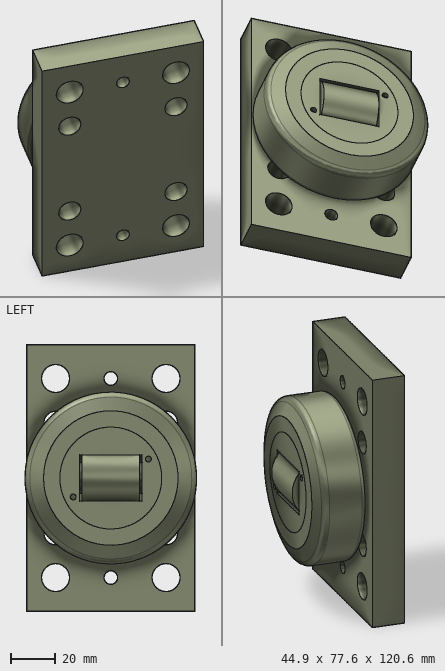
import cadquery as cq
import math

overall_depth = 44.9
face_x = 2.9
main_roller_back_x = 26.1
plate_front_x = 29.3

plate_width = 76.0
plate_height = 120.6
plate_thickness = overall_depth - plate_front_x
hole_y = 25.0
outer_hole_z = 45.0
inner_hole_z = hole_y
outer_hole_diameter = 12.5
inner_hole_diameter = 10.4
center_hole_diameter = 6.0

main_roller_radius = 38.8
bore_radius = 23.0
front_face_radius = 30.4
cone_angle = 20.0
front_edge_fillet = 3.4
back_edge_fillet = 2.0

shoulder_radius = 26.9
window_width = 28.2
window_height = 21.0
dimple_y = 17.0
dimple_z = 8.6
dimple_diameter = 2.7
dimple_depth = 2.4

side_roller_radius = 14.2
side_roller_width = 26.1
pin_radius = 7.0
pin_length = 35.0
side_axis_x = side_roller_radius


def x_cylinder(start_x, end_x, radius):
    return cq.Workplane("YZ", origin=(start_x, 0, 0)).circle(radius).extrude(end_x - start_x)


def side_cylinder(radius, length):
    """Cylinder along Y on the axis of the side roller, centered on Y = 0."""
    start = cq.Workplane("XZ", origin=(side_axis_x, length / 2, 0))
    return start.circle(radius).extrude(length)


def plate_holes(points, diameter):
    return (
        cq.Workplane("YZ", origin=(plate_front_x, 0, 0))
        .pushPoints(points)
        .circle(diameter / 2)
        .extrude(plate_thickness)
    )


def make_plate():
    signs = (-1, 1)
    outer_points = [(y * hole_y, z * outer_hole_z) for y in signs for z in signs]
    inner_points = [(y * hole_y, z * inner_hole_z) for y in signs for z in signs]
    center_points = [(0, z * outer_hole_z) for z in signs]
    return (
        cq.Workplane("YZ", origin=(plate_front_x, 0, 0))
        .rect(plate_width, plate_height)
        .extrude(plate_thickness)
        .cut(plate_holes(outer_points, outer_hole_diameter))
        .cut(plate_holes(inner_points, inner_hole_diameter))
        .cut(plate_holes(center_points, center_hole_diameter))
    )


def make_main_roller():
    """Ring with a conical front, rounded at both outer edges."""
    cone_depth = (main_roller_radius - front_face_radius) * math.tan(math.radians(cone_angle))
    cone_end_x = face_x + cone_depth
    ring = (
        cq.Workplane("XY")
        .moveTo(face_x, bore_radius)
        .lineTo(face_x, front_face_radius)
        .lineTo(cone_end_x, main_roller_radius)
        .lineTo(main_roller_back_x, main_roller_radius)
        .lineTo(main_roller_back_x, bore_radius)
        .close()
        .revolve(360, (0, 0, 0), (1, 0, 0))
    )
    outer_circle = cq.selectors.RadiusNthSelector(-1)
    ring = ring.faces("%CONE").edges("%CIRCLE").edges(outer_circle).fillet(front_edge_fillet)
    return ring.faces(">X").edges(outer_circle).fillet(back_edge_fillet)


def make_hub():
    """Shouldered stud with a windowed cavity for the side roller and its pin."""
    stud = x_cylinder(face_x, plate_front_x, bore_radius)
    shoulder = x_cylinder(main_roller_back_x, plate_front_x, shoulder_radius)
    window = (
        cq.Workplane("YZ", origin=(face_x, 0, 0))
        .rect(window_width, window_height)
        .extrude(side_axis_x - face_x)
    )
    dimples = (
        cq.Workplane("YZ", origin=(face_x, 0, 0))
        .pushPoints([(-dimple_y, dimple_z), (dimple_y, -dimple_z)])
        .circle(dimple_diameter / 2)
        .extrude(dimple_depth)
    )
    return (
        stud.union(shoulder)
        .cut(window)
        .cut(side_cylinder(side_roller_radius, window_width))
        .cut(side_cylinder(pin_radius, pin_length))
        .cut(dimples)
    )


def make_side_roller():
    return side_cylinder(side_roller_radius, side_roller_width).cut(
        side_cylinder(pin_radius, side_roller_width)
    )


def make_pin():
    return side_cylinder(pin_radius, pin_length)


plate = make_plate()
main_roller = make_main_roller()
hub = make_hub()
side_roller = make_side_roller()
pin = make_pin()

result = cq.Compound.makeCompound(
    [plate.val(), main_roller.val(), hub.val(), side_roller.val(), pin.val()]
)